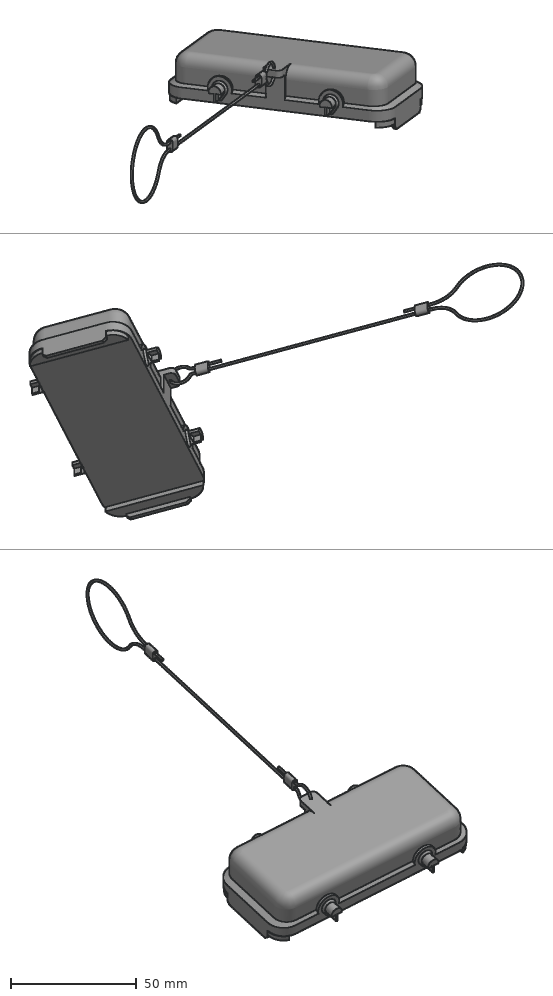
import math

import cadquery as cq

rim_length = 96.5
rim_width = 43.0
rim_corner_radius = 8.0
rim_edge_height = 4.7

body_length = 90.8
body_width = 40.5
body_corner_radius = 6.3
body_base_height = 6.0
body_top_height = 18.0
body_top_fillet = 5.2

skirt_length = 5.5
skirt_depth = 2.5
skirt_inset = 0.25
tab_thickness = 1.3
tab_depth = 5.0
tab_corner_chamfer = 1.5

peg_spacing = 47.7
peg_height = 6.0
peg_end_y = 26.85
peg_radius = 2.6
peg_tip_radius = 0.45
peg_tip_bottom = 1.8
peg_flare_offset = 0.8
peg_flare_length = 1.0
peg_rib_height = 5.4
peg_rib_flare_length = 1.4
boss_radius = 5.2

lug_width = 8.0
lug_end_y = -25.9
lug_thickness = 3.0
lug_corner_radius = 2.0

overall_depth = 199.54
wire_diameter = 1.0
loop_axis_z = 16.64
small_loop_radius = 4.5
small_loop_y = -27.0
large_loop_radius = 15.0
cord_end_y = peg_end_y - overall_depth
large_loop_y = cord_end_y + large_loop_radius + wire_diameter / 2
upper_leg_rise = 2.0
lower_leg_drop = 1.0
small_loop_leg_y = -32.3
large_loop_leg_y = -134.0
small_loop_free_end_y = -44.3
large_loop_free_end_y = -122.0

ferrule_length = 5.4
ferrule_width = 2.6
ferrule_height = 5.4
small_ferrule_y = -36.4
large_ferrule_y = -129.6


def rounded_prism(length, width, corner_radius, bottom, top):
    """Rectangular prism centred on Z with rounded vertical edges."""
    prism = cq.Workplane("XY").workplane(offset=bottom).rect(length, width).extrude(top - bottom)
    return prism.edges("|Z").fillet(corner_radius)


def make_rim():
    return rounded_prism(rim_length, rim_width, rim_corner_radius, 0, rim_edge_height)


def make_body():
    body = rounded_prism(body_length, body_width, body_corner_radius, 0, body_top_height)
    return body.faces(">Z").edges().fillet(body_top_fillet)


def make_ledge():
    """Slope from the rim outline up to the body outline."""
    rim_sketch = cq.Sketch().rect(rim_length, rim_width).vertices().fillet(rim_corner_radius)
    body_sketch = cq.Sketch().rect(body_length, body_width).vertices().fillet(body_corner_radius)
    slope_height = body_base_height - rim_edge_height
    raised_body_sketch = body_sketch.moved(cq.Location(cq.Vector(0, 0, slope_height)))
    rim_top = cq.Workplane("XY").workplane(offset=rim_edge_height)
    return rim_top.placeSketch(rim_sketch, raised_body_sketch).loft(ruled=True)


def make_end(side):
    """Skirt with a tab, below one end of the rim (side is -1 or 1)."""
    skirt_keep = cq.Workplane("XY").box(skirt_length, rim_width, skirt_depth)
    skirt_keep = skirt_keep.translate((side * (rim_length - skirt_length) / 2, 0, -skirt_depth / 2))
    skirt = rounded_prism(
        rim_length - 2 * skirt_inset,
        rim_width - 2 * skirt_inset,
        rim_corner_radius - skirt_inset,
        -skirt_depth,
        0,
    ).intersect(skirt_keep)

    tab_width = rim_width - 2 * rim_corner_radius
    tab = cq.Workplane("XY").box(tab_thickness, tab_width, tab_depth)
    tab = tab.edges("|X and <Z").chamfer(tab_corner_chamfer)
    tab = tab.translate((side * (rim_length - tab_thickness) / 2, 0, -tab_depth / 2))
    return skirt.union(tab)


def teardrop(workplane, offset):
    """Outline around the peg circle and its small tip circle, grown by offset."""
    round_radius = peg_radius + offset
    tip_radius = peg_tip_radius + offset
    tip_height = peg_tip_bottom + peg_tip_radius
    tangent_sine = (round_radius - tip_radius) / (peg_height - tip_height)
    tangent_cosine = math.sqrt(1 - tangent_sine**2)
    round_x = round_radius * tangent_cosine
    round_z = peg_height - round_radius * tangent_sine
    tip_x = tip_radius * tangent_cosine
    tip_z = tip_height - tip_radius * tangent_sine
    return (
        workplane.moveTo(round_x, round_z)
        .threePointArc((0, peg_height + round_radius), (-round_x, round_z))
        .lineTo(-tip_x, tip_z)
        .threePointArc((0, tip_height - tip_radius), (tip_x, tip_z))
        .close()
    )


def make_peg():
    """Boss and peg at X = 0 on the -Y side."""
    face_y = rim_width / 2
    boss = cq.Workplane("XZ").center(0, peg_height).circle(boss_radius).extrude(face_y)

    flare = teardrop(cq.Workplane("XZ", origin=(0, -face_y, 0)), peg_flare_offset)
    flare = teardrop(flare.workplane(offset=peg_flare_length), 0).loft(ruled=True)

    pin_base_y = face_y + peg_flare_length
    pin_length = peg_end_y - pin_base_y
    pin = teardrop(cq.Workplane("XZ", origin=(0, -pin_base_y, 0)), 0).extrude(pin_length)

    rib_start_y = pin_base_y + peg_rib_flare_length
    for side in (-1, 1):
        side_cut = (
            cq.Workplane("XY")
            .polyline([
                (side * peg_radius, -pin_base_y),
                (side * peg_radius, -peg_end_y),
                (side * peg_tip_radius, -peg_end_y),
                (side * peg_tip_radius, -rib_start_y),
            ])
            .close()
            .extrude(peg_rib_height)
        )
        pin = pin.cut(side_cut)
    return boss.union(flare).union(pin)


def make_lug():
    """Upright block flush with the rim, with a flat tongue at the top."""
    block_depth = rim_width / 2
    block = cq.Workplane("XY").box(lug_width, block_depth, body_top_height, centered=(True, False, False))
    block = block.translate((0, -block_depth, 0))

    tongue = cq.Workplane("XY").box(lug_width, -lug_end_y, lug_thickness, centered=(True, False, False))
    tongue = tongue.edges("|Z and <Y").fillet(lug_corner_radius)
    tongue = tongue.translate((0, lug_end_y, body_top_height - lug_thickness))
    return block.union(tongue)


def loop_arcs(loop_y, loop_radius, leg_y, leg_offset):
    """Bend from a straight leg into a loop.

    The bend is tangent to the leg at leg_y and to the loop circle.
    Returns the leg end, the bend middle and the point where the loop begins, as (Y, Z).
    """
    reach = leg_y - loop_y
    rise = abs(leg_offset)
    direction = math.copysign(1, leg_offset)
    bend_radius = (reach**2 + rise**2 - loop_radius**2) / (2 * (loop_radius - rise))
    bend_z = loop_axis_z + direction * (rise + bend_radius)

    leg_end = (leg_y, loop_axis_z + leg_offset)
    share = loop_radius / (loop_radius + bend_radius)
    loop_start = (loop_y + share * reach, loop_axis_z + share * (bend_z - loop_axis_z))

    bend_angle = math.atan2(abs(reach), rise + bend_radius)
    middle_y = leg_y - math.copysign(bend_radius * math.sin(bend_angle / 2), reach)
    middle_z = bend_z - direction * bend_radius * math.cos(bend_angle / 2)
    return leg_end, (middle_y, middle_z), loop_start


def make_wire():
    upper_z = loop_axis_z + upper_leg_rise
    small_upper = loop_arcs(small_loop_y, small_loop_radius, small_loop_leg_y, upper_leg_rise)
    small_lower = loop_arcs(small_loop_y, small_loop_radius, small_loop_leg_y, -lower_leg_drop)
    large_upper = loop_arcs(large_loop_y, large_loop_radius, large_loop_leg_y, upper_leg_rise)
    large_lower = loop_arcs(large_loop_y, large_loop_radius, large_loop_leg_y, -lower_leg_drop)

    path = (
        cq.Workplane("YZ")
        .moveTo(small_loop_free_end_y, upper_z)
        .lineTo(*small_upper[0])
        .threePointArc(small_upper[1], small_upper[2])
        .threePointArc((small_loop_y + small_loop_radius, loop_axis_z), small_lower[2])
        .threePointArc(small_lower[1], small_lower[0])
        .lineTo(*large_lower[0])
        .threePointArc(large_lower[1], large_lower[2])
        .threePointArc((large_loop_y - large_loop_radius, loop_axis_z), large_upper[2])
        .threePointArc(large_upper[1], large_upper[0])
        .lineTo(large_loop_free_end_y, upper_z)
    )
    start = cq.Workplane("XZ", origin=(0, small_loop_free_end_y, upper_z))
    return start.circle(wire_diameter / 2).sweep(path)


def make_ferrule(center_y):
    middle_z = loop_axis_z + (upper_leg_rise - lower_leg_drop) / 2
    ferrule = cq.Workplane("XZ", origin=(0, center_y, middle_z))
    return ferrule.slot2D(ferrule_height, ferrule_width, 90).extrude(ferrule_length / 2, both=True)


result = make_rim().union(make_ledge()).union(make_body())
for end_side in (-1, 1):
    result = result.union(make_end(end_side))

peg = make_peg()
for peg_x in (-peg_spacing / 2, peg_spacing / 2):
    result = result.union(peg.translate((peg_x, 0, 0)))
    result = result.union(peg.mirror("XZ").translate((peg_x, 0, 0)))

result = result.union(make_lug())
result = result.union(make_wire())
for ferrule_y in (small_ferrule_y, large_ferrule_y):
    result = result.union(make_ferrule(ferrule_y))